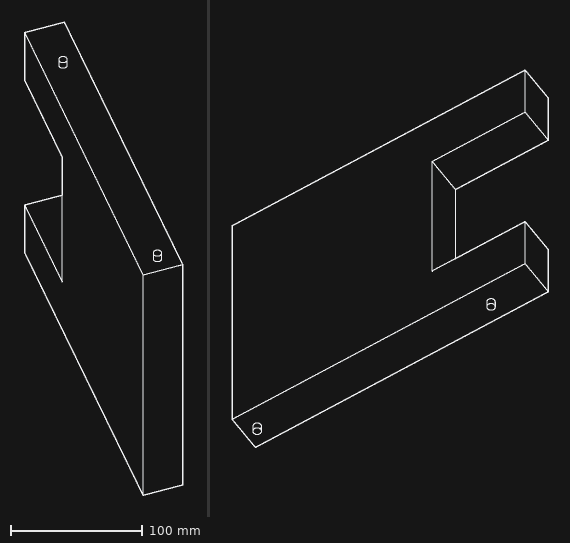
import cadquery as cq

length = 268.0
thickness = 32.2
overall_height = 259.0
pin_projection = 6.2
plate_height = overall_height - 2 * pin_projection

notch_depth = 85.0
notch_height = 139.3

pin_diameter = 6.5
pin_spacing = 213.8
first_pin_inset = 41.8
first_pin_x = -length / 2 + first_pin_inset
pin_positions = [first_pin_x, first_pin_x + pin_spacing]


def make_plate():
    plate = cq.Workplane("XY").box(length, thickness, plate_height)
    notch = (
        cq.Workplane("XY")
        .box(notch_depth, thickness, notch_height)
        .translate(((notch_depth - length) / 2, 0, 0))
    )
    return plate.cut(notch)


def make_pins(edge_z, projection):
    """Pins standing on the edge at edge_z; a negative projection points down."""
    return (
        cq.Workplane("XY")
        .workplane(offset=edge_z)
        .pushPoints([(x, 0) for x in pin_positions])
        .circle(pin_diameter / 2)
        .extrude(projection)
    )


top_pins = make_pins(plate_height / 2, pin_projection)
bottom_pins = make_pins(-plate_height / 2, -pin_projection)
result = make_plate().union(top_pins).union(bottom_pins)